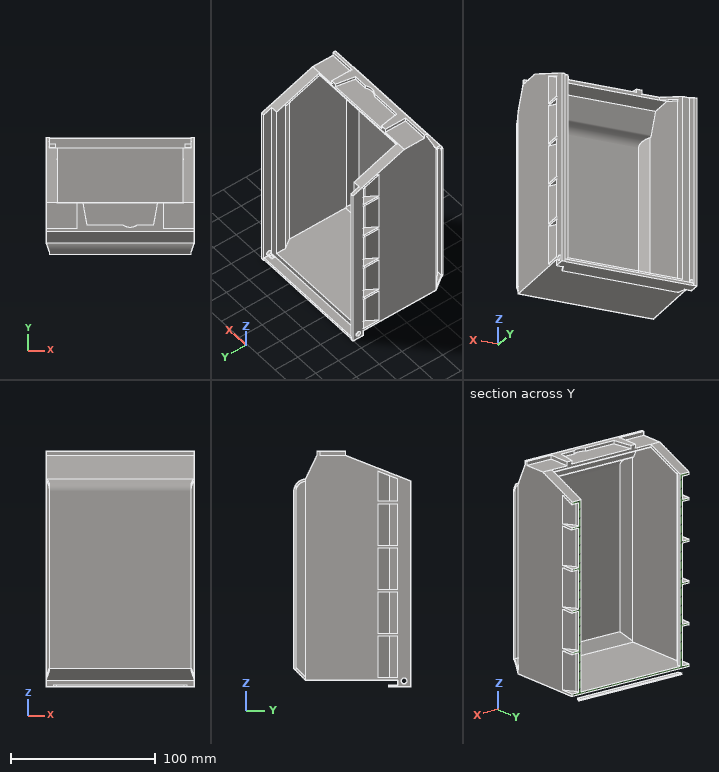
import cadquery as cq
import math


width = 102.5
depth = 81.0
height = 162.75
half_width = width / 2

wall = 2.0
overshoot = 5.0

rail_depth = 9.2
body_bottom = 4.6
side_top = 142.2
lip_back_depth = 45.0
lip_front_depth = 65.0
lip_step = 2.9
lip_floor = height - lip_step
corner = 8.2
corner_bulge = 2.1
corner_depth = depth - corner
corner_top = 143.6
slope_angle = math.atan2(lip_floor - side_top, lip_back_depth)

panel_thickness = 1.6
panel_inset = 2.4
side_inset = 6.5
panel_inner_depth = depth - panel_thickness

rim_side = 2.4
rim_inner_depth = rail_depth - wall
rear_rim_setback = 0.55
rear_rim_floor = 2.0

pocket_reach = 5.5
pocket_flat_depth = 14.8
pocket_end_depth = 22.7
pocket_count = 5
pocket_rib = 1.8
pocket_pitch = 30.4
pocket_first = body_bottom + wall
rim_flange = pocket_reach + rim_side

lip_border = 2.2
grip_half_width = 30.0
label_half_back = 25.8
label_half_front = 23.0
label_front_depth = 60.4
label_recess = 2.4
thumb_x = 6.8
thumb_half = 5.0
thumb_bulge = 1.7

hook_half_back = 46.0
hook_half_front = 44.0
hook_end_depth = 15.4
hook_height = 1.2
pin_diameter = 3.8
pin_depth = 4.7
pin_height = 4.2
notch_length = 4.0
notch_start = 4.5
notch_end = 6.9
notch_drop = 1.0


def box(x0, x1, depth0, depth1, z0, z1):
    """Box given by X limits, depths from the rim plane and Z limits."""
    return cq.Workplane("XY").box(x1 - x0, depth1 - depth0, z1 - z0, centered=False).translate(
        (x0, -depth1, z0)
    )


def side_prism(points):
    """Prism across the full width from a closed (depth, z) outline."""
    outline = [(-d, z) for d, z in points]
    return cq.Workplane("YZ").polyline(outline).close().extrude(half_width + overshoot, both=True)


def plan_prism(points, z0, z1):
    """Vertical prism from a closed (x, depth) outline."""
    outline = [(x, -d) for x, d in points]
    return cq.Workplane("XY").workplane(offset=z0).polyline(outline).close().extrude(z1 - z0)


def both_sides(body):
    return body.union(body.mirror("YZ"))


def shell(inset=0.0):
    """Full-width prism of the bin's side outline, shrunk inwards by `inset`."""
    outline = (
        cq.Workplane("YZ")
        .moveTo(0, body_bottom)
        .lineTo(0, side_top)
        .lineTo(-lip_back_depth, lip_floor)
        .lineTo(-lip_front_depth, lip_floor)
        .lineTo(-corner_depth, corner_top)
        .sagittaArc((-depth, corner_top - corner), -corner_bulge)
        .lineTo(-depth, body_bottom + corner)
        .lineTo(-corner_depth, body_bottom)
        .close()
    )
    if inset:
        outline = outline.offset2D(-inset)
    return outline.extrude(half_width, both=True)


def taper_wedges(inset):
    """Wedges that narrow both sides by `inset` between the corner and the base panel."""
    edge = half_width - inset
    outside = half_width + overshoot
    points = [
        (half_width, corner_depth),
        (edge, panel_inner_depth),
        (edge, depth + overshoot),
        (outside, depth + overshoot),
        (outside, corner_depth),
    ]
    return both_sides(plan_prism(points, 0, height))


def outer_body():
    """Solid outside of the bin with its lip block, rim band and tapered base panel."""
    body = shell()
    body = body.union(box(-half_width, half_width, lip_back_depth, lip_front_depth, lip_floor, height))
    body = body.union(box(-half_width, half_width, 0, rail_depth, 0, body_bottom + wall))
    body = body.cut(taper_wedges(side_inset).intersect(shell(panel_thickness)))
    return body.cut(taper_wedges(panel_inset))


def cavity():
    """Inside of the bin, following the side pockets and the tapered base panel."""
    opening = half_width - rim_flange
    inner = half_width - rim_side
    right_half = [
        (opening, 0),
        (opening, pocket_flat_depth),
        (inner, pocket_end_depth),
        (inner, corner_depth),
        (inner - side_inset, panel_inner_depth),
        (inner - side_inset, depth),
    ]
    left_half = [(-x, d) for x, d in reversed(right_half)]
    space = plan_prism(right_half + left_half, 0, height).intersect(shell(wall))
    behind_lip = box(-opening, opening, -overshoot, lip_back_depth, pocket_first, height)
    return space.union(behind_lip)


def rim_clearance():
    """Space inside the rim band along the open side, with the lower rear rim."""
    inner = half_width - rim_side
    space = box(-inner, inner, -overshoot, rim_inner_depth, rear_rim_floor, height)
    return space.union(box(-inner, inner, -overshoot, rear_rim_setback, -overshoot, height))


def side_pockets():
    """Rows of pockets behind the rim rail, the topmost running parallel to the sloped side."""
    floor_x = half_width - pocket_reach
    outside = half_width + overshoot
    section = [
        (outside, rail_depth),
        (floor_x, rail_depth),
        (floor_x, pocket_flat_depth),
        (half_width, pocket_end_depth),
        (outside, pocket_end_depth),
    ]
    row = plan_prism(section, pocket_first, height)
    for index in range(1, pocket_count):
        rib_top = pocket_first + index * pocket_pitch
        row = row.cut(box(0, outside, 0, depth, rib_top - pocket_rib, rib_top))
    below_slope = side_prism(
        [
            (0, 0),
            (0, side_top - wall / math.cos(slope_angle)),
            (lip_back_depth, lip_floor - wall / math.cos(slope_angle)),
            (lip_back_depth, 0),
        ]
    )
    return both_sides(row.intersect(below_slope))


def lip_recesses():
    """Lowered lip ends and the label recess with its thumb notch."""
    border_depth = lip_front_depth - lip_border
    outside = half_width + overshoot
    ends = both_sides(box(grip_half_width, outside, 0, border_depth, lip_floor, height))
    label = (
        cq.Workplane("XY")
        .workplane(offset=height - label_recess)
        .moveTo(-label_half_back, -lip_back_depth)
        .lineTo(-label_half_front, -label_front_depth)
        .lineTo(thumb_x - thumb_half, -label_front_depth)
        .threePointArc(
            (thumb_x, -label_front_depth - thumb_bulge), (thumb_x + thumb_half, -label_front_depth)
        )
        .lineTo(label_half_front, -label_front_depth)
        .lineTo(label_half_back, -lip_back_depth)
        .close()
        .extrude(label_recess)
    )
    return ends.union(label)


def rear_hook():
    """Thin tongue with slanted ends along the lowest edge of the rear rim."""
    points = [
        (-hook_half_back, rim_inner_depth),
        (-hook_half_back, rail_depth),
        (-hook_half_front, hook_end_depth),
        (hook_half_front, hook_end_depth),
        (hook_half_back, rail_depth),
        (hook_half_back, rim_inner_depth),
    ]
    return plan_prism(points, 0, hook_height)


def rear_rim_cuts():
    """Pin holes through the side rails and shallow corner notches in the rear rim floor."""
    pin = (
        cq.Workplane("YZ")
        .center(-pin_depth, pin_height)
        .circle(pin_diameter / 2)
        .extrude(half_width + overshoot, both=True)
    )
    inner = half_width - rim_side
    notch_bottom = rear_rim_floor - notch_drop
    notch = box(inner - notch_length, inner, notch_start, notch_end, notch_bottom, rear_rim_floor)
    return pin.union(both_sides(notch))


result = (
    outer_body()
    .cut(cavity())
    .cut(rim_clearance())
    .cut(side_pockets())
    .cut(lip_recesses())
    .union(rear_hook())
    .cut(rear_rim_cuts())
)